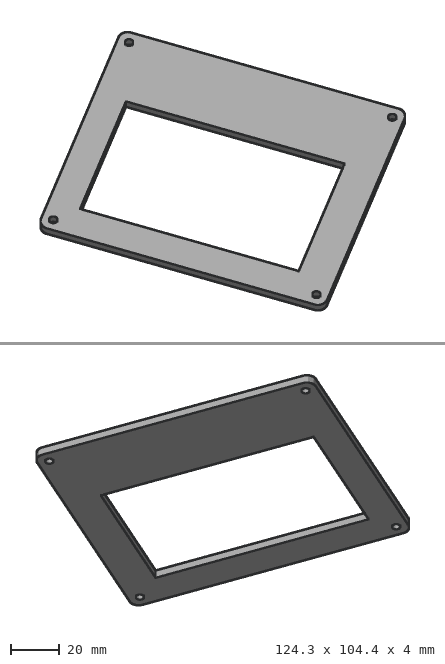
import cadquery as cq

plate_length = 124.3
plate_width = 104.4
plate_thickness = 4.0
corner_radius = 4.0

window_length = 95.0
window_width = 57.2
window_offset_x = -1.1
window_offset_y = -9.8

hole_diameter = 3.4
hole_edge_distance = 5.0
hole_spacing_x = plate_length - 2 * hole_edge_distance
hole_spacing_y = plate_width - 2 * hole_edge_distance

plate = (
    cq.Workplane("XY")
    .box(plate_length, plate_width, plate_thickness, centered=(True, True, False))
    .edges("|Z")
    .fillet(corner_radius)
)

window = (
    cq.Workplane("XY")
    .center(window_offset_x, window_offset_y)
    .rect(window_length, window_width)
    .extrude(plate_thickness)
)

mounting_holes = (
    cq.Workplane("XY")
    .rect(hole_spacing_x, hole_spacing_y, forConstruction=True)
    .vertices()
    .circle(hole_diameter / 2)
    .extrude(plate_thickness)
)

result = plate.cut(window).cut(mounting_holes)